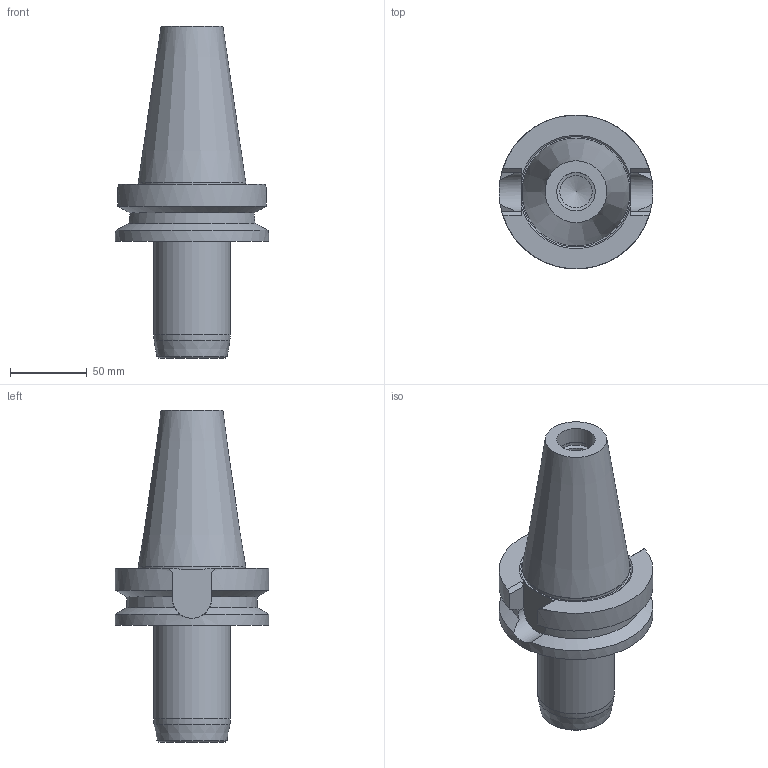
import cadquery as cq
import math


taper_length = 101.8
gauge_diameter = 69.85
taper_ratio = 7 / 24
taper_tip_diameter = gauge_diameter - taper_ratio * taper_length

flange_diameter = 99.97
flange_top = -1.2
flange_bottom = -38.0
neck_diameter = 69.25

groove_diameter = 85.0
groove_centre = -23.1
groove_floor_width = 7.0
groove_flank_angle = 30.0

relief_outer_diameter = 73.7
relief_floor_diameter = 71.7
relief_depth = 0.8

slot_width = 25.47
slot_floor_distance = 35.4
slot_bottom = -33.6
slot_edge_chamfer = 2.5

nose_diameter = 50.0
nose_bottom = -114.0
nose_cone_angle = 10.0
nose_blend_radius = 22.0
nose_blend_top = -99.0
nose_edge_chamfer = 0.8

entry_diameter = 25.02
entry_depth = 11.2
bore_groove_diameter = 25.47
bore_groove_width = 2.1
bore_diameter = 21.0
bore_depth = 50.0
bore_cone_angle = 140.0


def make_body():
    """Revolve the taper, neck, flange and nose about Z."""
    neck_radius = neck_diameter / 2
    relief_floor = flange_top - relief_depth
    flange_radius = flange_diameter / 2
    groove_radius = groove_diameter / 2
    floor_half = groove_floor_width / 2
    flank_height = (flange_radius - groove_radius) * math.tan(math.radians(groove_flank_angle))
    mouth_half = floor_half + flank_height

    nose_radius = nose_diameter / 2
    cone_angle = math.radians(nose_cone_angle)
    half_angle = cone_angle / 2

    def blend_point(angle):
        radius = nose_radius - nose_blend_radius * (1 - math.cos(angle))
        height = nose_blend_top - nose_blend_radius * math.sin(angle)
        return radius, height

    cone_top_radius, cone_top = blend_point(cone_angle)
    cone_bottom = nose_bottom + nose_edge_chamfer
    cone_bottom_radius = cone_top_radius - (cone_top - cone_bottom) * math.tan(cone_angle)

    profile = (
        cq.Workplane("XZ")
        .moveTo(0, taper_length)
        .lineTo(taper_tip_diameter / 2, taper_length)
        .lineTo(gauge_diameter / 2, 0)
        .lineTo(neck_radius, 0)
        .lineTo(neck_radius, relief_floor)
        .lineTo(relief_floor_diameter / 2, relief_floor)
        .lineTo(relief_outer_diameter / 2, flange_top)
        .lineTo(flange_radius, flange_top)
        .lineTo(flange_radius, groove_centre + mouth_half)
        .lineTo(groove_radius, groove_centre + floor_half)
        .lineTo(groove_radius, groove_centre - floor_half)
        .lineTo(flange_radius, groove_centre - mouth_half)
        .lineTo(flange_radius, flange_bottom)
        .lineTo(nose_radius, flange_bottom)
        .lineTo(nose_radius, nose_blend_top)
        .threePointArc(blend_point(half_angle), (cone_top_radius, cone_top))
        .lineTo(cone_bottom_radius, cone_bottom)
        .lineTo(cone_bottom_radius - nose_edge_chamfer, nose_bottom)
        .lineTo(0, nose_bottom)
        .close()
    )
    return profile.revolve(360, (0, 0, 0), (0, 1, 0))


def make_bore():
    """Blind stepped hole with a wider groove, a conical step and a pointed end."""
    entry_radius = entry_diameter / 2
    groove_radius = bore_groove_diameter / 2
    bore_radius = bore_diameter / 2
    groove_top = taper_length - entry_depth
    groove_bottom = groove_top - bore_groove_width
    cone_slope = 1 / math.tan(math.radians(bore_cone_angle / 2))
    step_bottom = groove_bottom - (groove_radius - bore_radius) * cone_slope
    bore_end = taper_length - bore_depth
    profile = (
        cq.Workplane("XZ")
        .moveTo(0, taper_length)
        .lineTo(entry_radius, taper_length)
        .lineTo(entry_radius, groove_top)
        .lineTo(groove_radius, groove_top)
        .lineTo(groove_radius, groove_bottom)
        .lineTo(bore_radius, step_bottom)
        .lineTo(bore_radius, bore_end)
        .lineTo(0, bore_end - bore_radius * cone_slope)
        .close()
    )
    return profile.revolve(360, (0, 0, 0), (0, 1, 0))


def make_slot(side):
    """Round-bottomed drive slot with bevelled top edges; side is +1 or -1 along X."""
    half_width = slot_width / 2
    arc_centre = slot_bottom + half_width
    bevel_half_width = half_width + slot_edge_chamfer
    outline = (
        cq.Workplane("YZ", origin=(side * slot_floor_distance, 0, 0))
        .moveTo(-bevel_half_width, flange_top)
        .lineTo(-half_width, flange_top - slot_edge_chamfer)
        .lineTo(-half_width, arc_centre)
        .threePointArc((0, slot_bottom), (half_width, arc_centre))
        .lineTo(half_width, flange_top - slot_edge_chamfer)
        .lineTo(bevel_half_width, flange_top)
        .close()
    )
    return outline.extrude(side * flange_diameter / 2)


result = make_body().cut(make_bore())
for slot_side in (-1, 1):
    result = result.cut(make_slot(slot_side))